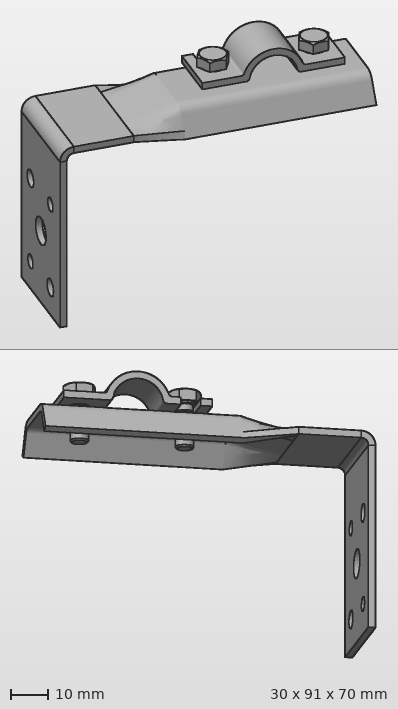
import cadquery as cq
import math

sheet = 2.0
plate_width = 30.0
plate_top = 55.1
bend_radius = 2 * sheet
arm_end = 21.2
channel_start = 36.1
total_length = 91.0

channel_top = plate_top + 2 * sheet
channel_flat_width = 16.0
fold_radius = 4.0
fold_angle = 60.0
wall_drop = 6.0

plate_holes = [
    (0.0, 22.0, 8.0),
    (-8.0, 34.0, 5.0),
    (7.5, 34.0, 4.0),
    (-8.0, 8.5, 4.0),
    (7.5, 8.5, 5.0),
]

clamp_y = 64.0
strap_length = 40.95
strap_width = 16.0
strap_bottom = 61.4
strap_top = strap_bottom + sheet
arch_radius = 9.0
arch_top = 70.0
root_radius = 1.0
strap_hole_diameter = 5.5

bolt_spacing = 29.0
thread_diameter = 5.0
neck_diameter = 4.55
tip_diameter = 4.1
washer_face_diameter = 6.7
washer_face_height = 0.55
head_height = 3.3
head_flats = 8.0
head_top_diameter = 7.5
head_bevel_angle = 30.0
neck_length = 1.7
neck_taper = 0.55
shank_length = 12.0
front_bolt_y = clamp_y - bolt_spacing / 2
rear_bolt_y = clamp_y + bolt_spacing / 2
bolt_turns = {front_bolt_y: 0.0, rear_bolt_y: 8.0}


def box(width, y_min, y_max, z_min, z_max):
    """Block centred on X = 0 between the given Y and Z limits."""
    block = cq.Workplane("XY").box(width, y_max - y_min, z_max - z_min, centered=(True, False, False))
    return block.translate((0, y_min, z_min))


def cylinder_z(diameter, y, z_min, z_max):
    """Upright cylinder at X = 0."""
    plane = cq.Workplane("XY", origin=(0, y, z_min))
    return plane.circle(diameter / 2).extrude(z_max - z_min)


def make_wall_plate():
    plate = box(plate_width, 0, sheet, 0, plate_top - bend_radius)
    for x, z, diameter in plate_holes:
        hole = cq.Workplane("XZ", origin=(x, 0, z)).circle(diameter / 2).extrude(-sheet)
        plate = plate.cut(hole)
    return plate


def make_bend():
    inner_radius = bend_radius - sheet
    bend_bottom = plate_top - bend_radius
    diagonal = math.sqrt(0.5)

    def mid_point(radius):
        return (bend_radius - radius * diagonal, bend_bottom + radius * diagonal)

    profile = (
        cq.Workplane("YZ", origin=(-plate_width / 2, 0, 0))
        .moveTo(0, bend_bottom)
        .threePointArc(mid_point(bend_radius), (bend_radius, plate_top))
        .lineTo(bend_radius, plate_top - sheet)
        .threePointArc(mid_point(inner_radius), (sheet, bend_bottom))
        .close()
    )
    return profile.extrude(plate_width)


def make_flat_arm():
    return box(plate_width, bend_radius, arm_end, plate_top - sheet, plate_top)


slope = math.radians(fold_angle)
fold_centre_x = channel_flat_width / 2
fold_centre_z = channel_top - fold_radius
wall_run = wall_drop / math.tan(slope)
channel_width = 2 * (fold_centre_x + fold_radius * math.sin(slope) + wall_run)


def fold_point(radius, angle):
    """Point on a fold arc, the angle being measured from straight up."""
    return (fold_centre_x + radius * math.sin(angle), fold_centre_z + radius * math.cos(angle))


def wall_end(radius):
    """Lower end of the side wall surface that leaves the fold arc of this radius."""
    x, z = fold_point(radius, slope)
    return (x + wall_run, z - wall_drop)


def channel_half_outline():
    """Right half of the folded section, as segments from the top centre round to the bottom centre."""
    outer, inner = fold_radius, fold_radius - sheet
    corner_x, corner_z = wall_end(outer)
    edge_match = (corner_x - sheet / math.tan(slope), corner_z + sheet)
    return [
        [(0, channel_top), fold_point(outer, 0)],
        [fold_point(outer, 0), fold_point(outer, slope / 2), fold_point(outer, slope)],
        [fold_point(outer, slope), edge_match],
        [edge_match, (corner_x, corner_z)],
        [(corner_x, corner_z), wall_end(inner)],
        [wall_end(inner), fold_point(inner, slope)],
        [fold_point(inner, slope), fold_point(inner, slope / 2), fold_point(inner, 0)],
        [fold_point(inner, 0), (0, channel_top - sheet)],
    ]


def segment_length(points):
    """Length of a straight segment or of a fold arc, arcs having three points."""
    if len(points) == 3:
        return math.dist((fold_centre_x, fold_centre_z), points[0]) * slope
    return math.dist(*points)


def spread_along_x(segments, x_start, x_end, z):
    """Straight segments at height z that share out the run in proportion to the given ones."""
    total = sum(segment_length(segment) for segment in segments)
    points = [(x_start, z)]
    for segment in segments:
        points.append((points[-1][0] + (x_end - x_start) * segment_length(segment) / total, z))
    return [list(pair) for pair in zip(points, points[1:])]


def arm_half_outline():
    """Right half of the flat section, with one segment for each segment of the folded section."""
    folded = channel_half_outline()
    edge_index = 3
    edge = channel_width / 2
    arm_bottom = plate_top - sheet
    top = spread_along_x(folded[:edge_index], 0, edge, plate_top)
    bottom = spread_along_x(folded[edge_index + 1:], edge, 0, arm_bottom)
    return top + [[(edge, plate_top), (edge, arm_bottom)]] + bottom


def section_wire(y, half_outline):
    """Closed wire at the given Y from a half outline and its mirror image."""
    other_half = [[(-x, z) for x, z in reversed(segment)] for segment in reversed(half_outline)]
    edges = []
    for segment in half_outline + other_half:
        points = [cq.Vector(x, y, z) for x, z in segment]
        if len(points) == 3:
            edges.append(cq.Edge.makeThreePointArc(*points))
        else:
            edges.append(cq.Edge.makeLine(*points))
    return cq.Wire.assembleEdges(edges)


def make_channel():
    channel_wire = section_wire(channel_start, channel_half_outline())
    length = cq.Vector(0, total_length - channel_start, 0)
    straight = cq.Workplane(cq.Solid.extrudeLinear(channel_wire, [], length))
    arm_wire = section_wire(arm_end, arm_half_outline())
    transition = cq.Workplane(cq.Solid.makeLoft([arm_wire, channel_wire], True))
    channel = straight.union(transition, clean=False)
    for y in bolt_turns:
        channel = channel.cut(cylinder_z(thread_diameter, y, channel_top - sheet, channel_top), clean=False)
    return channel.clean()


def make_strap():
    feet = box(strap_width, clamp_y - strap_length / 2, clamp_y + strap_length / 2, strap_bottom, strap_top)
    arch_centre = (clamp_y, arch_top - arch_radius)
    arch_plane = cq.Workplane("YZ", origin=(-strap_width / 2, 0, 0)).center(*arch_centre)
    below_feet = box(strap_width, clamp_y - arch_radius, clamp_y + arch_radius, 0, strap_bottom)
    strap = feet.union(arch_plane.circle(arch_radius).extrude(strap_width))
    strap = strap.cut(arch_plane.circle(arch_radius - sheet).extrude(strap_width)).cut(below_feet)
    roots = cq.selectors.BoxSelector(
        (-strap_width, clamp_y - arch_radius, strap_bottom - root_radius / 2),
        (strap_width, clamp_y + arch_radius, strap_top + root_radius / 2),
    )
    strap = strap.edges("|X").edges(roots).fillet(root_radius)

    slot_radius = strap_hole_diameter / 2
    slot = box(strap_width, front_bolt_y - slot_radius, front_bolt_y + slot_radius, strap_bottom, strap_top)
    strap = strap.cut(slot.translate((-strap_width / 2, 0, 0)))
    for y in bolt_turns:
        strap = strap.cut(cylinder_z(strap_hole_diameter, y, strap_bottom, strap_top))
    return strap


def make_bolt(y, turn):
    """Hexagon bolt seated on the strap, its head turned about the vertical axis."""
    head_bottom = strap_top + washer_face_height
    head_top = head_bottom + head_height
    thread_top = strap_top - neck_length
    tip = strap_top - shank_length
    tip_chamfer = (thread_diameter - tip_diameter) / 2
    corner_radius = head_flats / 2 / math.cos(math.radians(30))
    bevel_drop = (corner_radius - head_top_diameter / 2) * math.tan(math.radians(head_bevel_angle))

    head = (
        cq.Workplane("XY", origin=(0, 0, head_bottom))
        .polygon(6, 2 * corner_radius)
        .extrude(head_height)
        .rotate((0, 0, 0), (0, 0, 1), 90 + turn)
    )
    bevel = (
        cq.Workplane("XZ")
        .moveTo(0, head_bottom)
        .lineTo(corner_radius, head_bottom)
        .lineTo(corner_radius, head_top - bevel_drop)
        .lineTo(head_top_diameter / 2, head_top)
        .lineTo(0, head_top)
        .close()
        .revolve(360, (0, 0, 0), (0, 1, 0))
    )
    shank = (
        cq.Workplane("XZ")
        .moveTo(0, head_bottom)
        .lineTo(washer_face_diameter / 2, head_bottom)
        .lineTo(washer_face_diameter / 2, strap_top)
        .lineTo(neck_diameter / 2, strap_top)
        .lineTo(neck_diameter / 2, thread_top)
        .lineTo(thread_diameter / 2, thread_top - neck_taper)
        .lineTo(thread_diameter / 2, tip + tip_chamfer)
        .lineTo(tip_diameter / 2, tip)
        .lineTo(0, tip)
        .close()
        .revolve(360, (0, 0, 0), (0, 1, 0))
    )
    return head.intersect(bevel).union(shank).translate((0, y, 0))


wall_plate = make_wall_plate()
bend = make_bend()
flat_arm = make_flat_arm()
channel = make_channel()
strap = make_strap()
bolts = [make_bolt(y, turn).val() for y, turn in bolt_turns.items()]

result = cq.Compound.makeCompound(
    [wall_plate.val(), bend.val(), flat_arm.val(), channel.val(), strap.val(), *bolts]
)